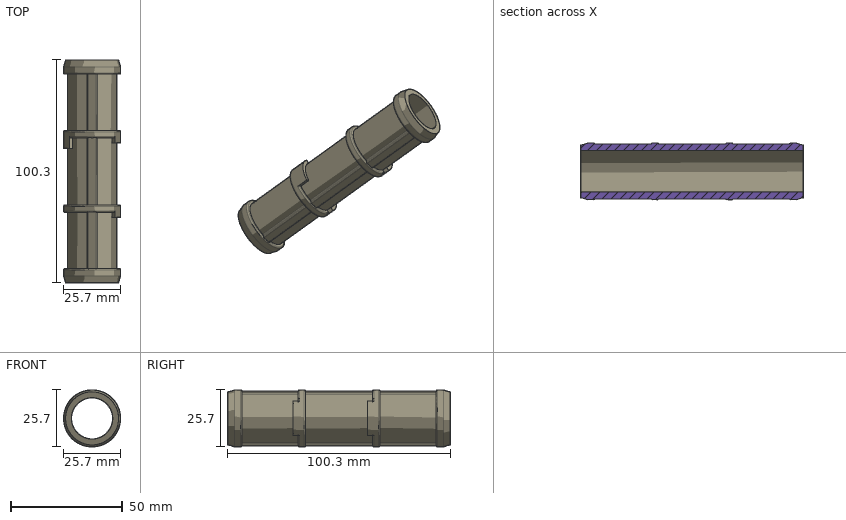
import cadquery as cq
import math

length = 100.3
bore_diameter = 18.5
tube_diameter = 22.3
collar_diameter = 25.7

collar_width = 6.4
collar_nose_length = 3.1
collar_nose_diameter = 23.9
edge_round = 0.6

ring_spacing = 33.5
ring_width = 3.3

rib_width = 4.2
rib_top_radius = 12.4
rib_round = 0.5

pad_half_angle = 37
long_pad_length = 8
short_pad_length = 5.6

bore_radius = bore_diameter / 2
tube_radius = tube_diameter / 2
collar_radius = collar_diameter / 2
half_length = length / 2
ring_centers = (ring_spacing / 2, -ring_spacing / 2)


def cylinder(radius, start, width):
    """Solid cylinder along the Y axis, from start towards +Y."""
    return cq.Workplane("XZ", origin=(0, start, 0)).circle(radius).extrude(-width)


def end_collar():
    """Collar at the +Y end: tapered nose outside, rounded shoulder inside."""
    shoulder = half_length - collar_width
    collar = cylinder(collar_radius, shoulder, collar_width - collar_nose_length)
    collar = collar.faces("<Y").edges().fillet(edge_round)
    nose = (
        cq.Workplane("XZ", origin=(0, half_length - collar_nose_length, 0))
        .circle(collar_radius)
        .workplane(offset=-collar_nose_length)
        .circle(collar_nose_diameter / 2)
        .loft()
    )
    return collar.union(nose)


def stop_ring(center):
    """Ring around the tube with both rims rounded."""
    ring = cylinder(collar_radius, center - ring_width / 2, ring_width)
    return ring.edges().fillet(edge_round)


def ribbed_tube():
    """Tube blank with a rib on top and one below, each rounded along its crest and its feet."""
    half_width = rib_width / 2
    rib_length = length - 2 * collar_nose_length
    ribs = (
        cq.Workplane("XY")
        .box(rib_width, rib_length, 2 * rib_top_radius)
        .edges("|Y")
        .fillet(rib_round)
    )
    blank = cylinder(tube_radius, -half_length, length).union(ribs)
    foot_height = math.sqrt(tube_radius**2 - half_width**2)
    for x in (-half_width, half_width):
        for z in (-foot_height, foot_height):
            foot = cq.selectors.NearestToPointSelector((x, 0, z))
            blank = blank.edges(foot).fillet(rib_round)
    return blank


def label_pad(center, pad_length, direction):
    """Sector of the ring's radius, on the +X (direction 1) or -X (direction -1) side."""
    ring_edge = center + ring_width / 2
    reach = 2 * collar_radius
    half_height = reach * math.tan(math.radians(pad_half_angle))
    wedge = (
        cq.Workplane("XZ", origin=(0, ring_edge - pad_length, 0))
        .lineTo(direction * reach, half_height)
        .lineTo(direction * reach, -half_height)
        .close()
        .extrude(-(pad_length - ring_width / 2))
    )
    return wedge.intersect(cylinder(collar_radius, -half_length, length))


result = ribbed_tube()
collar = end_collar()
result = result.union(collar).union(collar.mirror("XZ"))
for center in ring_centers:
    result = result.union(stop_ring(center))
    result = result.union(label_pad(center, short_pad_length, 1))
result = result.union(label_pad(ring_centers[0], long_pad_length, -1))
result = result.cut(cylinder(bore_radius, -half_length, length))